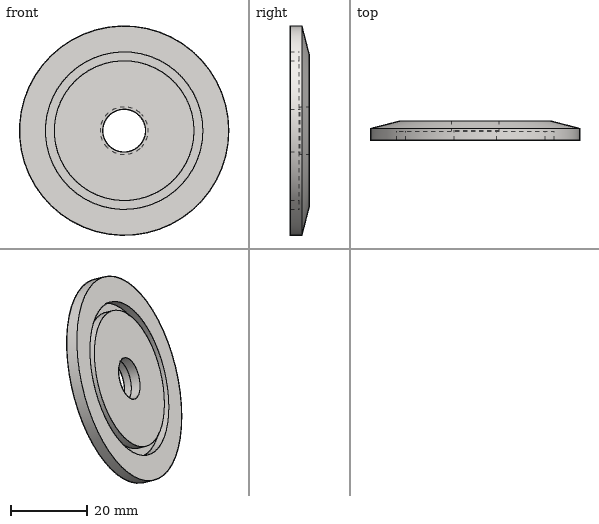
import cadquery as cq

outer_diameter = 54.85
thickness = 5.1
rim_thickness = 3.1
back_face_diameter = 39.5
bore_diameter = 11.15

counterbore_diameter = 12.5
counterbore_depth = 2.45

groove_outer_diameter = 41.25
groove_inner_diameter = 36.6
groove_depth = 2.3

front_y = -thickness / 2
back_y = thickness / 2
rim_back_y = front_y + rim_thickness
groove_floor_y = front_y + groove_depth
counterbore_floor_y = back_y - counterbore_depth


def revolved_body():
    """Half section (radius, y) turned about the Y axis."""
    section = [
        (bore_diameter / 2, front_y),
        (groove_inner_diameter / 2, front_y),
        (groove_inner_diameter / 2, groove_floor_y),
        (groove_outer_diameter / 2, groove_floor_y),
        (groove_outer_diameter / 2, front_y),
        (outer_diameter / 2, front_y),
        (outer_diameter / 2, rim_back_y),
        (back_face_diameter / 2, back_y),
        (counterbore_diameter / 2, back_y),
        (counterbore_diameter / 2, counterbore_floor_y),
        (bore_diameter / 2, counterbore_floor_y),
    ]
    return cq.Workplane("XY").polyline(section).close().revolve(360, (0, 0, 0), (0, 1, 0))


result = revolved_body()